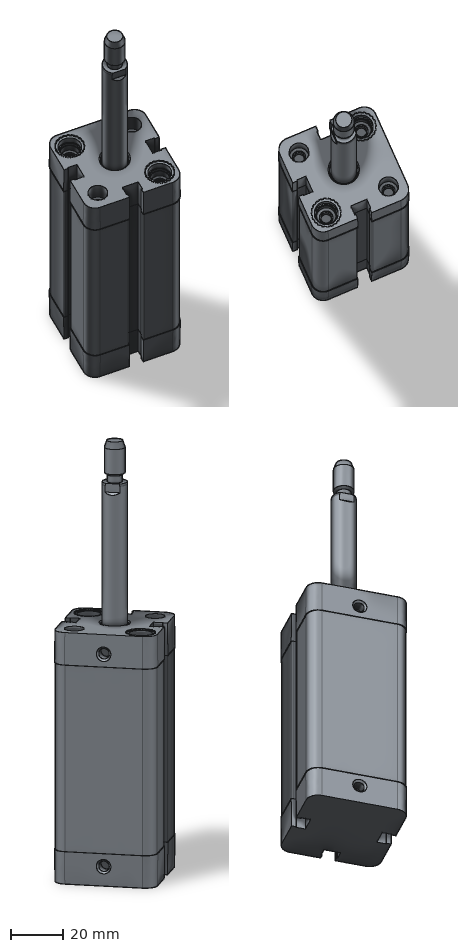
import cadquery as cq
import math

TOTAL_HEIGHT = 171.0
CAP_HEIGHT = 12.8
BODY_HEIGHT = 99.2
BARREL_BASE = CAP_HEIGHT
BARREL_TOP = BODY_HEIGHT - CAP_HEIGHT
BARREL_WIDTH = 39.8
BARREL_CORNER_RADIUS = 4.8

CAP_JOINT_WIDTH = 40.4
CAP_END_WIDTH = 40.0
CAP_CORNER_RADIUS = 5.0
CAP_DRAFT = math.degrees(math.atan2((CAP_JOINT_WIDTH - CAP_END_WIDTH) / 2, CAP_HEIGHT))

SLOT_ANGLES = (-90, 0, 90)
SLOT_MOUTH = 5.8
SLOT_WIDTH = 6.7
SLOT_FLOOR = 14.4
SLOT_LIP_BACK = 18.1
SLOT_MOUTH_RADIUS = 0.5
SLOT_REACH = CAP_JOINT_WIDTH

PORT_DIAMETER = 4.1
PORT_MOUTH_DIAMETER = 5.8
PORT_DEPTH = 5.1
PORT_END_DISTANCE = 7.7

CORNER_OFFSET = 13.0
PLAIN_CORNERS = ((-CORNER_OFFSET, CORNER_OFFSET), (CORNER_OFFSET, -CORNER_OFFSET))
SERRATED_CORNERS = ((-CORNER_OFFSET, -CORNER_OFFSET), (CORNER_OFFSET, CORNER_OFFSET))
CORNER_BORE_DIAMETER = 7.5
CORNER_BORE_DEPTH = 6.8
CORNER_PILOT_DIAMETER = 4.1
CORNER_PILOT_DEPTH = 10.3
CORNER_STEP_DIAMETER = 5.1
CORNER_STEP_DEPTH = 7.7

SERRATION_ROOT_DIAMETER = 11.5
SERRATION_TIP_DIAMETER = 11.0
SERRATION_DEPTH = 0.5
SERRATION_COUNT = 20
SERRATION_WIDTH = 0.9
MOUTH_BORE_DIAMETER = 9.0
MOUTH_BORE_DEPTH = 3.0
MOUTH_STEP_DIAMETER = 8.0
MOUTH_STEP_DEPTH = 4.1

ROD_DIAMETER = 10.0
ROD_BASE = BARREL_TOP
ROD_SHOULDER = 154.8
ROD_CHAMFER_HEIGHT = 0.9
ROD_CHAMFER_DEPTH = 0.2
ROD_MOUTH_DIAMETER = 12.0
ROD_MOUTH_DEPTH = 0.5
ROD_CLEARANCE_DIAMETER = 11.0
ROD_CLEARANCE_DEPTH = 2.5
NECK_DIAMETER = 5.8
NECK_TOP = 157.5
THREAD_DIAMETER = 8.0
THREAD_BASE = 158.3
THREAD_TIP_DIAMETER = 6.2
THREAD_TIP_HEIGHT = 2.7

FLAT_SPACING = 8.0
FLAT_BASE = 151.3


def disc(diameter, bottom, top, center=(0, 0)):
    """Vertical cylinder between two heights."""
    return cq.Workplane("XY", origin=(*center, bottom)).circle(diameter / 2).extrude(top - bottom)


def cone(bottom_diameter, top_diameter, bottom, top, center=(0, 0)):
    """Vertical truncated cone between two heights."""
    position = cq.Vector(*center, bottom)
    solid = cq.Solid.makeCone(bottom_diameter / 2, top_diameter / 2, top - bottom, position)
    return cq.Workplane(obj=solid)


def rounded_square(width, corner_radius, height, taper=0):
    """Square column with rounded corners, narrowing upwards by the taper angle."""
    sketch = cq.Sketch().rect(width, width).vertices().fillet(corner_radius)
    return cq.Workplane("XY").placeSketch(sketch).extrude(height, taper=taper)


def slot_cutters(height):
    """T-slot cutters for the three slotted faces."""
    lip_length = SLOT_REACH - SLOT_LIP_BACK
    pocket_length = SLOT_LIP_BACK - SLOT_FLOOR
    mouth = cq.Workplane("XY").box(lip_length, SLOT_MOUTH, height, centered=(False, True, False))
    pocket = cq.Workplane("XY").box(pocket_length, SLOT_WIDTH, height, centered=(False, True, False))
    mouth = mouth.translate((SLOT_LIP_BACK, 0, 0))
    cutter = pocket.translate((SLOT_FLOOR, 0, 0)).union(mouth)
    return [cutter.rotate((0, 0, 0), (0, 0, 1), angle) for angle in SLOT_ANGLES]


def make_barrel():
    """Slotted square column with rounded slot mouths."""
    height = BARREL_TOP - BARREL_BASE
    barrel = rounded_square(BARREL_WIDTH, BARREL_CORNER_RADIUS, height)
    for cutter in slot_cutters(height):
        barrel = barrel.cut(cutter)
    half_width = BARREL_WIDTH / 2
    half_mouth = SLOT_MOUTH / 2
    for angle in SLOT_ANGLES:
        turn = math.radians(angle)
        for side in (-half_mouth, half_mouth):
            x = half_width * math.cos(turn) - side * math.sin(turn)
            y = half_width * math.sin(turn) + side * math.cos(turn)
            mouth_edge = cq.selectors.NearestToPointSelector((x, y, height / 2))
            barrel = barrel.edges(mouth_edge).fillet(SLOT_MOUTH_RADIUS)
    return barrel.translate((0, 0, BARREL_BASE))


def port_cutter():
    """Countersunk blind hole drilled in +X from the -X face of a cap."""
    mouth_chamfer = (PORT_MOUTH_DIAMETER - PORT_DIAMETER) / 2
    port_height = CAP_HEIGHT - PORT_END_DISTANCE
    face = -CAP_JOINT_WIDTH / 2
    profile = [
        (face, 0),
        (face, PORT_MOUTH_DIAMETER / 2),
        (face + mouth_chamfer, PORT_DIAMETER / 2),
        (face + PORT_DEPTH, PORT_DIAMETER / 2),
        (face + PORT_DEPTH, 0),
    ]
    cutter = cq.Workplane("XY").polyline(profile).close().revolve(360, (0, 0, 0), (1, 0, 0))
    return cutter.translate((0, 0, port_height))


def make_cap():
    """Slotted cap with its joint face at z = 0 and its free end up."""
    cap = rounded_square(CAP_JOINT_WIDTH, CAP_CORNER_RADIUS, CAP_HEIGHT, CAP_DRAFT)
    for cutter in slot_cutters(CAP_HEIGHT):
        cap = cap.cut(cutter)
    return cap.cut(port_cutter())


def corner_hole(center):
    """Blind hole that narrows in two steps."""
    steps = (
        (CORNER_BORE_DIAMETER, CORNER_BORE_DEPTH),
        (CORNER_STEP_DIAMETER, CORNER_STEP_DEPTH),
        (CORNER_PILOT_DIAMETER, CORNER_PILOT_DEPTH),
    )
    hole = cq.Workplane("XY")
    for diameter, depth in steps:
        hole = hole.union(disc(diameter, BODY_HEIGHT - depth, BODY_HEIGHT, center))
    return hole


def serrated_mouth(center):
    """Shallow recess with evenly spaced grooves in its wall, above a stepped bore."""
    recess_floor = BODY_HEIGHT - SERRATION_DEPTH
    grooves = (
        cq.Workplane("XY", origin=(*center, recess_floor))
        .polarArray(SERRATION_ROOT_DIAMETER / 4, 0, 360, SERRATION_COUNT)
        .rect(SERRATION_ROOT_DIAMETER / 2, SERRATION_WIDTH)
        .extrude(SERRATION_DEPTH)
    )
    recess = disc(SERRATION_TIP_DIAMETER, recess_floor, BODY_HEIGHT, center)
    bore = disc(MOUTH_BORE_DIAMETER, BODY_HEIGHT - MOUTH_BORE_DEPTH, BODY_HEIGHT, center)
    step = disc(MOUTH_STEP_DIAMETER, BODY_HEIGHT - MOUTH_STEP_DEPTH, BODY_HEIGHT, center)
    return recess.union(grooves).union(bore).union(step)


def make_front_cap():
    """Cap above the barrel, bored for the rod and for the corner holes."""
    cap = make_cap().translate((0, 0, BARREL_TOP))
    cap = cap.cut(disc(ROD_DIAMETER, BARREL_TOP, BODY_HEIGHT))
    cap = cap.cut(disc(ROD_CLEARANCE_DIAMETER, BODY_HEIGHT - ROD_CLEARANCE_DEPTH, BODY_HEIGHT))
    mouth_floor = BODY_HEIGHT - ROD_MOUTH_DEPTH
    cap = cap.cut(cone(ROD_CLEARANCE_DIAMETER, ROD_MOUTH_DIAMETER, mouth_floor, BODY_HEIGHT))
    for center in PLAIN_CORNERS + SERRATED_CORNERS:
        cap = cap.cut(corner_hole(center))
    for center in SERRATED_CORNERS:
        cap = cap.cut(serrated_mouth(center))
    return cap


def make_rear_cap():
    """The plain cap turned over about the X axis, below the barrel."""
    return make_cap().rotate((0, 0, 0), (1, 0, 0), 180).translate((0, 0, BARREL_BASE))


def flat_cutter():
    """Cuts the +X wrench flat, which runs out through a 45 degree slope."""
    flat = FLAT_SPACING / 2
    reach = ROD_DIAMETER
    profile = [
        (flat, ROD_SHOULDER),
        (flat, FLAT_BASE),
        (reach, FLAT_BASE - (reach - flat)),
        (reach, ROD_SHOULDER),
    ]
    return cq.Workplane("XZ").polyline(profile).close().extrude(ROD_DIAMETER / 2, both=True)


def make_rod():
    """Rod with a flatted shoulder, a relief neck and a threaded end left as a plain cylinder."""
    radius = ROD_DIAMETER / 2
    profile = [
        (0, ROD_BASE),
        (radius, ROD_BASE),
        (radius, ROD_SHOULDER - ROD_CHAMFER_HEIGHT),
        (radius - ROD_CHAMFER_DEPTH, ROD_SHOULDER),
        (NECK_DIAMETER / 2, ROD_SHOULDER),
        (NECK_DIAMETER / 2, NECK_TOP),
        (THREAD_DIAMETER / 2, THREAD_BASE),
        (THREAD_DIAMETER / 2, TOTAL_HEIGHT - THREAD_TIP_HEIGHT),
        (THREAD_TIP_DIAMETER / 2, TOTAL_HEIGHT),
        (0, TOTAL_HEIGHT),
    ]
    rod = cq.Workplane("XZ").polyline(profile).close().revolve(360, (0, 0, 0), (0, 1, 0))
    for angle in (0, 180):
        rod = rod.cut(flat_cutter().rotate((0, 0, 0), (0, 0, 1), angle))
    return rod


barrel = make_barrel()
front_cap = make_front_cap()
rear_cap = make_rear_cap()
rod = make_rod()

result = cq.Compound.makeCompound([barrel.val(), front_cap.val(), rear_cap.val(), rod.val()])